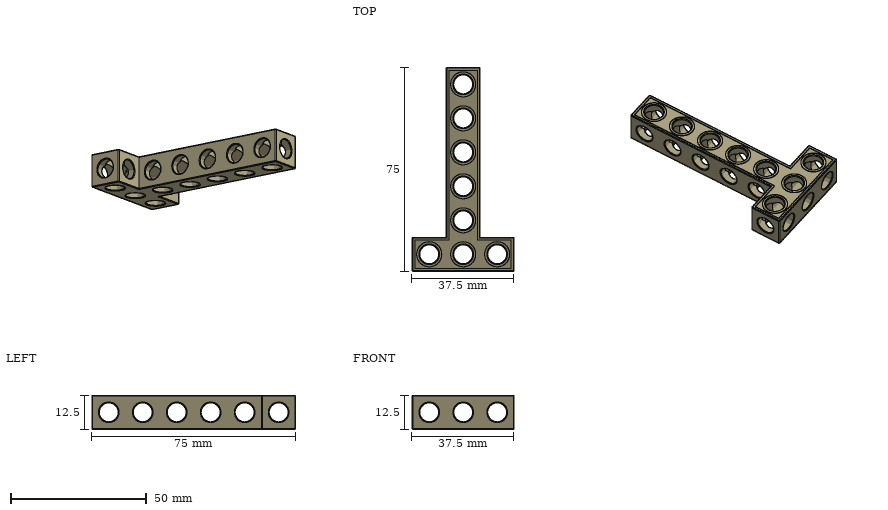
import cadquery as cq

length = 75.0
stem_cells = 6
bar_cells = 3
edge_chamfer = 0.3
hole_diameter = 7.0
hole_chamfer = 0.3
ring_diameter = 9.2
panel_width = 10.35
panel_depth = 0.2

pitch = length / stem_cells
half_pitch = pitch / 2
rim_width = (pitch - panel_width) / 2
bar_length = bar_cells * pitch
stem_rows = [row * pitch for row in range(stem_cells)]
bar_columns = [(column - (bar_cells - 1) / 2) * pitch for column in range(bar_cells)]

vertical_centres = [(x, 0) for x in bar_columns] + [(0, y) for y in stem_rows[1:]]


def tee(inset, height):
    """T-shaped plate, centred on Z, with its outline moved inward by inset."""
    bar = cq.Workplane("XY").box(bar_length - 2 * inset, pitch - 2 * inset, height)
    stem = (
        cq.Workplane("XY")
        .box(pitch - 2 * inset, length - 2 * inset, height)
        .translate((0, length / 2 - half_pitch, 0))
    )
    return bar.union(stem).clean()


def hole_cutter(centre, direction, span):
    """Round through-hole along direction, centred in its span, flared at both ends."""
    radius = hole_diameter / 2
    mouth_radius = radius + hole_chamfer
    half_span = span / 2
    profile = [
        (0, -half_span),
        (mouth_radius, -half_span),
        (radius, -half_span + hole_chamfer),
        (radius, half_span - hole_chamfer),
        (mouth_radius, half_span),
        (0, half_span),
    ]
    cutter = cq.Workplane("XZ").polyline(profile).close().revolve(360, (0, 0), (0, 1))
    plane = cq.Plane(origin=centre, normal=direction)
    return cutter.val().moved(plane.location)


def panel_recess():
    """Shallow pocket in the top face that leaves the rim and the rings standing."""
    rings = cq.Workplane("XY").pushPoints(vertical_centres).circle(ring_diameter / 2)
    rings = rings.extrude(panel_depth, both=True)
    pocket = tee(rim_width, 2 * panel_depth).cut(rings)
    return pocket.translate((0, 0, half_pitch))


def chamfered_body():
    """Solid T-shaped beam, chamfered on all edges but the two inner corners."""
    body = tee(0, pitch)
    inner_corners = [(-half_pitch, half_pitch), (half_pitch, half_pitch)]
    outer_edges = []
    for edge in body.edges().vals():
        middle = edge.Center()
        is_inner = any(
            cq.Vector(x, y, 0).sub(middle).Length < edge_chamfer for x, y in inner_corners
        )
        if not is_inner:
            outer_edges.append(edge)
    return body.newObject(outer_edges).chamfer(edge_chamfer)


result = chamfered_body().cut(panel_recess())

for x, y in vertical_centres:
    result = result.cut(cq.Workplane(hole_cutter((x, y, 0), (0, 0, 1), pitch)))

for y in stem_rows:
    span = bar_length if y == 0 else pitch
    result = result.cut(cq.Workplane(hole_cutter((0, y, 0), (1, 0, 0), span)))

for x in bar_columns:
    is_middle = x == 0
    span = length if is_middle else pitch
    centre_y = (length - pitch) / 2 if is_middle else 0
    result = result.cut(cq.Workplane(hole_cutter((x, centre_y, 0), (0, 1, 0), span)))